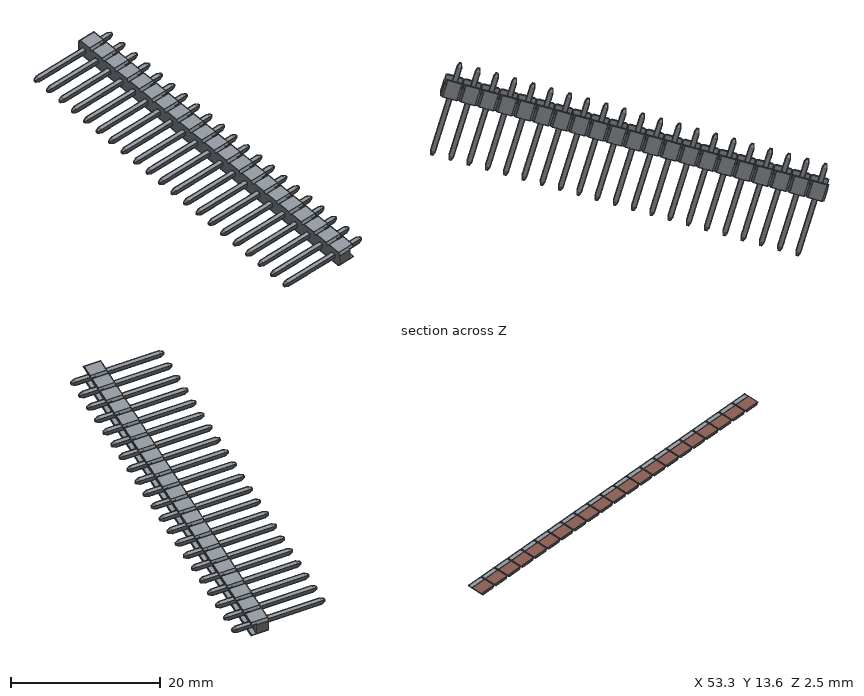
import cadquery as cq

pin_count = 21
pitch = 2.54
housing_length = pin_count * pitch
housing_depth = 2.45
housing_height = 2.5
corner_run = 0.3
corner_drop = 0.4

slot_depth = 0.68
flange_thickness = 0.32
slot_height = housing_height - 2 * flange_thickness

pin_width = 0.64
tip_width = 0.3
taper_length = 0.55
pin_length = 13.6
pin_offset_x = -0.1
pin_offset_z = -0.03
back_reach = 2.4

back_y = housing_depth / 2
pin_back_y = back_y + back_reach
pin_front_y = pin_back_y - pin_length


def cell_centre(index):
    """X position of one cell, with the row centred on the origin."""
    return (index - (pin_count - 1) / 2) * pitch


def xz_plane(y):
    """Work plane at the given Y, facing -Y, with X to the right and Z up."""
    return cq.Workplane("XZ", origin=(0, y, 0))


def make_housing():
    """Row outline with beveled cell corners, which form V notches between cells."""
    top_z = housing_height / 2
    shoulder_z = top_z - corner_drop
    top_edge = [(-housing_length / 2, shoulder_z)]
    for index in range(pin_count):
        left_x = cell_centre(index) - pitch / 2
        right_x = left_x + pitch
        top_edge.append((left_x + corner_run, top_z))
        top_edge.append((right_x - corner_run, top_z))
        top_edge.append((right_x, shoulder_z))
    bottom_edge = [(x, -z) for x, z in reversed(top_edge)]
    return xz_plane(back_y).polyline(top_edge + bottom_edge).close().extrude(housing_depth)


def make_back_slot():
    """Block removed along the whole back face of the housing."""
    return xz_plane(back_y).rect(housing_length, slot_height).extrude(slot_depth)


def square_corners(width, y):
    """Corners of a square centred on the Y axis, normal to it at the given Y."""
    half = width / 2
    corner_signs = ((-1, -1), (1, -1), (1, 1), (-1, 1))
    return [cq.Vector(x_sign * half, y, z_sign * half) for x_sign, z_sign in corner_signs]


def make_taper(base_y, tip_y):
    """Square pyramid stub narrowing from base_y to tip_y."""
    base = cq.Wire.makePolygon(square_corners(pin_width, base_y), close=True)
    tip = cq.Wire.makePolygon(square_corners(tip_width, tip_y), close=True)
    return cq.Workplane(obj=cq.Solid.makeLoft([base, tip], ruled=True))


def make_pin():
    """Straight square shank with a taper at each end."""
    shank_back_y = pin_back_y - taper_length
    shank_front_y = pin_front_y + taper_length
    shank = xz_plane(shank_back_y).rect(pin_width, pin_width).extrude(shank_back_y - shank_front_y)
    back_taper = make_taper(shank_back_y, pin_back_y)
    front_taper = make_taper(shank_front_y, pin_front_y)
    return shank.union(back_taper).union(front_taper)


housing = make_housing().cut(make_back_slot())
pin = make_pin()
result = housing
for pin_index in range(pin_count):
    result = result.union(pin.translate((cell_centre(pin_index) + pin_offset_x, 0, pin_offset_z)))